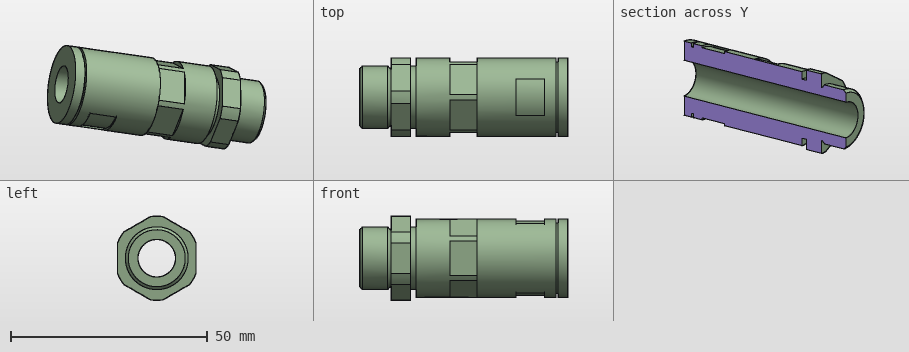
import cadquery as cq
import math

total_length = 53.0
bore_diameter = 9.5

spigot_diameter = 16.0
spigot_chamfer = 0.75
spigot_straight_end = 7.1

nut_start = 8.0
nut_end = 13.0
nut_across_flats = 20.0
nut_corner_diameter = 21.47

front_barrel_diameter = 20.0
rear_barrel_diameter = 20.02
barrel_start = 14.4

wrench_start = 23.0
wrench_end = 29.9
wrench_across_flats = 18.0

recess_start = 39.8
recess_end = 47.0
recess_width = 9.4
recess_floor_diameter = 19.0

groove_start = 50.0
groove_end = 50.5
groove_diameter = 18.0

hexagon_sides = 6


def cylinder(start, end, diameter):
    """Cylinder about the X axis between two stations."""
    return cq.Workplane("YZ", origin=(start, 0, 0)).circle(diameter / 2).extrude(end - start)


def hexagon(start, end, across_flats):
    """Hexagonal prism about the X axis with flats facing +Y and -Y."""
    across_corners = across_flats / math.cos(math.pi / hexagon_sides)
    plane = cq.Workplane("YZ", origin=(start, 0, 0)).transformed(rotate=(0, 0, 90))
    return plane.polygon(hexagon_sides, across_corners).extrude(end - start)


def make_spigot():
    """Spigot chamfered at its front edge and tapered at 45 degrees down to the hexagon."""
    radius = spigot_diameter / 2
    taper = nut_start - spigot_straight_end
    profile = [
        (0, 0),
        (0, radius - spigot_chamfer),
        (spigot_chamfer, radius),
        (spigot_straight_end, radius),
        (nut_start, radius - taper),
        (nut_start, 0),
    ]
    return cq.Workplane("XY").polyline(profile).close().revolve(360, (0, 0, 0), (1, 0, 0))


def make_nut():
    corners = cylinder(nut_start, nut_end, nut_corner_diameter)
    return hexagon(nut_start, nut_end, nut_across_flats).intersect(corners)


def make_wrench_cutter():
    """Barrel material lying outside the wrench flats."""
    blank = cylinder(wrench_start, wrench_end, nut_corner_diameter)
    return blank.cut(hexagon(wrench_start, wrench_end, wrench_across_flats))


def make_recess_cutter():
    """Top and bottom recesses, with floors concentric to the barrel."""
    length = recess_end - recess_start
    block = cq.Workplane("XY").box(length, recess_width, nut_corner_diameter)
    block = block.translate(((recess_start + recess_end) / 2, 0, 0))
    return block.cut(cylinder(recess_start, recess_end, recess_floor_diameter))


def make_groove_cutter():
    blank = cylinder(groove_start, groove_end, nut_corner_diameter)
    return blank.cut(cylinder(groove_start, groove_end, groove_diameter))


front_barrel = cylinder(barrel_start, wrench_end, front_barrel_diameter)
rear_barrel = cylinder(wrench_end, total_length, rear_barrel_diameter)
barrel = front_barrel.union(rear_barrel)
for cutter in (make_wrench_cutter(), make_recess_cutter(), make_groove_cutter()):
    barrel = barrel.cut(cutter)

collar = cylinder(nut_end, barrel_start, spigot_diameter)
bore = cylinder(0, total_length, bore_diameter)

result = make_spigot().union(make_nut()).union(collar).union(barrel).cut(bore)